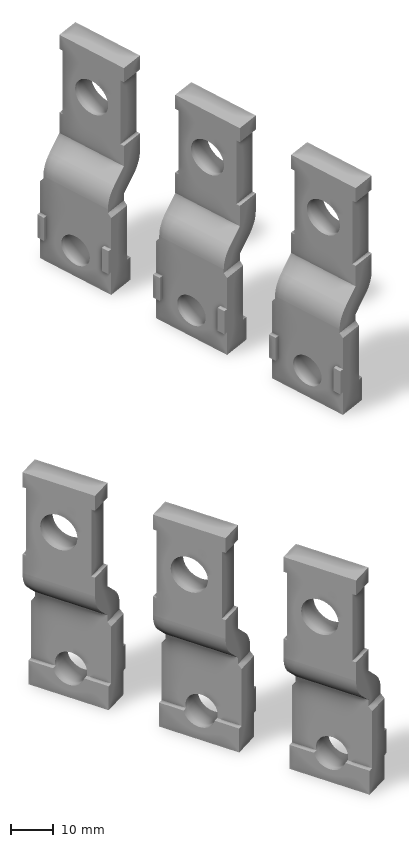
import cadquery as cq
import math

row_length = 91.5
overall_depth = 13.0
strap_height = 65.0
strap_count = 3

foot_width = 21.5
neck_width = 19.5
waist_width = 17.5
strap_pitch = (row_length - foot_width) / (strap_count - 1)

tab_width = 2.0
tab_depth = 1.0
tab_height = 7.0
pad_depth = 1.2
pad_height = 6.95
tab_bottom_z = pad_height

thickness = (overall_depth - tab_depth) / 2
bend_angle = math.radians(45)
bend_radius = 8.0
front_corner_z = 34.95

shoulder_top_z = 24.5
shoulder_step = (foot_width - neck_width) / 2
shoulder_bottom_z = shoulder_top_z - shoulder_step
waist_bottom_z = 41.2
head_height = 4.3
waist_top_z = strap_height - head_height

lower_hole_diameter = 8.6
lower_hole_z = 8.0
upper_hole_diameter = 10.0
upper_hole_z = 51.0

foot_back_y = thickness
head_back_y = 2 * thickness


def make_bent_bar():
    """Z-bent bar of constant thickness, with sharp inner and rounded outer bends."""
    slope = math.tan(bend_angle)
    back_corner_z = front_corner_z - thickness / math.sin(bend_angle)
    front_apex_z = front_corner_z - thickness / slope
    back_apex_z = back_corner_z + thickness / slope
    tangent = bend_radius * math.tan(bend_angle / 2)

    def bend_point(angle):
        """Inset and height of an arc point, measured from the arc's vertical tangent point."""
        return bend_radius * (1 - math.cos(angle)), bend_radius * math.sin(angle)

    mid_inset, mid_rise = bend_point(bend_angle / 2)
    end_inset, end_rise = bend_point(bend_angle)
    front_arc_z = front_apex_z - tangent
    back_arc_z = back_apex_z + tangent

    return (
        cq.Workplane("YZ")
        .moveTo(0, 0)
        .lineTo(0, front_arc_z)
        .threePointArc((mid_inset, front_arc_z + mid_rise), (end_inset, front_arc_z + end_rise))
        .lineTo(foot_back_y, front_corner_z)
        .lineTo(foot_back_y, strap_height)
        .lineTo(head_back_y, strap_height)
        .lineTo(head_back_y, back_arc_z)
        .threePointArc(
            (head_back_y - mid_inset, back_arc_z - mid_rise),
            (head_back_y - end_inset, back_arc_z - end_rise),
        )
        .lineTo(foot_back_y, back_corner_z)
        .lineTo(foot_back_y, 0)
        .close()
        .extrude(foot_width / 2, both=True)
    )


def make_width_outline():
    """Prism of the strap's front outline, used to trim the bent bar to width."""
    right_edge = [
        (foot_width / 2, 0),
        (foot_width / 2, shoulder_bottom_z),
        (neck_width / 2, shoulder_top_z),
        (neck_width / 2, waist_bottom_z),
        (waist_width / 2, waist_bottom_z),
        (waist_width / 2, waist_top_z),
        (neck_width / 2, waist_top_z),
        (neck_width / 2, strap_height),
    ]
    left_edge = [(-x, z) for x, z in reversed(right_edge)]
    return (
        cq.Workplane("XZ")
        .polyline(right_edge + left_edge)
        .close()
        .extrude(-head_back_y)
    )


def make_front_tab(side):
    """Tab standing proud of the foot's front face, flush with one side edge."""
    tab_x = side * (foot_width - tab_width) / 2
    return (
        cq.Workplane("XY")
        .box(tab_width, tab_depth, tab_height, centered=(True, False, False))
        .translate((tab_x, -tab_depth, tab_bottom_z))
    )


def make_back_pad():
    """Full-width pad behind the lower end of the foot."""
    return (
        cq.Workplane("XY")
        .box(foot_width, pad_depth, pad_height, centered=(True, False, False))
        .translate((0, foot_back_y, 0))
    )


def make_hole(diameter, height):
    """Cylinder along Y that passes through the full strap depth."""
    return (
        cq.Workplane("XZ")
        .center(0, height)
        .circle(diameter / 2)
        .extrude(-head_back_y)
    )


def make_strap():
    """One complete terminal strap centred on X = 0."""
    strap = make_bent_bar().intersect(make_width_outline())
    for side in (-1, 1):
        strap = strap.union(make_front_tab(side))
    strap = strap.union(make_back_pad())
    strap = strap.cut(make_hole(lower_hole_diameter, lower_hole_z))
    return strap.cut(make_hole(upper_hole_diameter, upper_hole_z))


straps = []
for index in range(strap_count):
    strap_x = (index - (strap_count - 1) / 2) * strap_pitch
    straps.append(make_strap().translate((strap_x, 0, 0)).solids().val())

result = cq.Compound.makeCompound(straps)